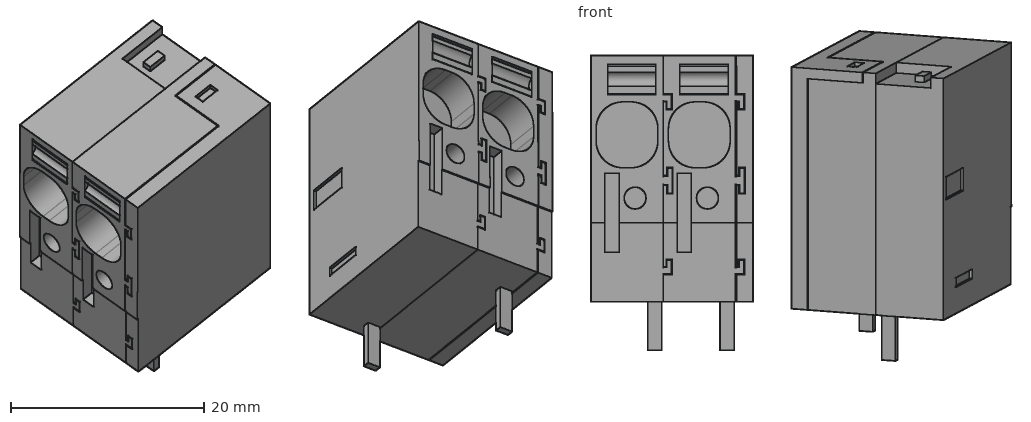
import cadquery as cq

pitch = 7.5
total_width = 16.8
depth = 20.05
total_height = 30.55
height = 25.55
plate_gap = 0.1
module_count = 2
plate_left = module_count * pitch + plate_gap

step_z = 8.2
lower_setback = 0.15
top_setback = 0.05

lever_left = 1.75
lever_width = 4.98
lever_bottom = 21.55
lever_top = 24.4
lever_recess = 0.1
window_bottom = 21.45
window_top = 24.63
lever_gap_depth = 0.45
groove_bottom = 22.35
groove_top = 23.8
groove_depth = 0.5

entry_left = 0.55
entry_width = 6.4
entry_bottom = 13.9
entry_height = 6.8
entry_corner = 2.75
entry_depth = 4.2
test_x = 4.58
test_z = 10.75
test_diameter = 2.25
test_depth = entry_depth
slot_left = 1.45
slot_width = 1.5
slot_bottom = 5.15
slot_top = 13.32
slot_depth = 1.47

hook_inner = 0.4
hook_thickness = 0.45
middle_inner = 0.45
latch_length = 14.03
hook_gap = 0.1
top_arm = (20.8, 21.48)
top_tip = (20.02, 21.48)
middle_arm = (12.15, 13.02)
middle_tip = (11.28, 13.85)
bottom_arm = (2.9, 3.58)
bottom_tip = (2.9, 4.35)

notch_left = 1.4
notch_front = 14.03
notch_depth = 1.1
bump_left = 3.05
bump_width = 0.98
bump_front = 15.43
bump_length = 2.17
bump_height = 0.67
bump_clearance = 0.03

pocket_depth = 0.3
upper_pocket = (14.15, 12.6, 5.1, 2.4)
lower_pocket = (11.58, 2.78, 4.77, 1.0)

pin_left = 5.87
pin_width = 1.5
pin_thickness = 0.8
pin_length = total_height - height
pin_fronts = (17.82, 4.55)


def box(x, y, z, length, width, tall):
    """Box given by its lowest corner and its X, Y and Z sizes."""
    return cq.Workplane("XY").box(length, width, tall, centered=False).translate((x, y, z))


def block(left, width):
    """Slab along X with the stepped and drafted front face."""
    return (
        cq.Workplane("YZ", origin=(left, 0, 0))
        .polyline([
            (lower_setback, 0),
            (lower_setback, step_z),
            (0, step_z),
            (top_setback, height),
            (depth, height),
            (depth, 0),
        ])
        .close()
        .extrude(width)
    )


def latch_bar(left, clearance, inner, arm, tip):
    """Hooked bar along Y: an arm from the module face at X = left and an upright tip at its end."""
    reach = inner + hook_thickness
    arm_low, arm_high = arm
    tip_low, tip_high = tip
    arm_bar = box(
        left, 0, arm_low - clearance,
        reach + clearance, latch_length + clearance, arm_high - arm_low + 2 * clearance,
    )
    tip_bar = box(
        left + inner - clearance, 0, tip_low - clearance,
        hook_thickness + 2 * clearance, latch_length + clearance, tip_high - tip_low + 2 * clearance,
    )
    return arm_bar.union(tip_bar)


def latch_bars(left, clearance):
    """All three hooked bars, grown by a clearance and trimmed to the front face."""
    bars = latch_bar(left, clearance, hook_inner, top_arm, top_tip)
    bars = bars.union(latch_bar(left, clearance, middle_inner, middle_arm, middle_tip))
    bars = bars.union(latch_bar(left, clearance, hook_inner, bottom_arm, bottom_tip))
    return bars.intersect(block(left, pitch))


def lever_cut(left):
    """Recess of the lever face, clearances above and below it and the finger groove across it."""
    x = left + lever_left
    face = box(x, 0, window_bottom, lever_width, lever_recess, window_top - window_bottom)
    above = box(x, 0, lever_top, lever_width, lever_gap_depth, window_top - lever_top)
    below = box(x, 0, window_bottom, lever_width, lever_gap_depth, lever_bottom - window_bottom)
    groove = (
        cq.Workplane("YZ", origin=(x, 0, 0))
        .moveTo(lever_recess, groove_bottom)
        .threePointArc(
            (lever_recess + groove_depth, (groove_bottom + groove_top) / 2),
            (lever_recess, groove_top),
        )
        .close()
        .extrude(lever_width)
    )
    return face.union(above).union(below).union(groove)


def wire_entry_cut(left):
    """Wire opening with large rounded corners."""
    opening = box(left + entry_left, 0, entry_bottom, entry_width, entry_depth, entry_height)
    return opening.edges("|Y").fillet(entry_corner)


def test_hole_cut(left):
    return (
        cq.Workplane("XZ", origin=(left + test_x, 0, test_z))
        .circle(test_diameter / 2)
        .extrude(-test_depth)
    )


def slot_cut(left):
    return box(left + slot_left, 0, slot_bottom, slot_width, slot_depth, slot_top - slot_bottom)


def notch_cut(left):
    return box(
        left + notch_left, notch_front, height - notch_depth,
        pitch - notch_left, depth - notch_front, notch_depth,
    )


def bump(left, clearance, tall):
    """Locating bump on the notch floor, or its clearance hole."""
    return box(
        left + bump_left - clearance, bump_front - clearance, height - notch_depth,
        bump_width + 2 * clearance, bump_length + 2 * clearance, tall,
    )


def wall_pocket_cut(pocket):
    front, bottom, length, tall = pocket
    return box(0, front, bottom, pocket_depth, length, tall)


def housing(index):
    """One terminal module; the first has a closed left wall, the others have latch sockets."""
    left = index * pitch
    body = block(left, pitch)
    body = body.cut(lever_cut(left))
    body = body.cut(wire_entry_cut(left))
    body = body.cut(test_hole_cut(left))
    body = body.cut(slot_cut(left))
    body = body.cut(notch_cut(left))
    body = body.union(bump(left, 0, bump_height))
    if index == 0:
        body = body.cut(wall_pocket_cut(upper_pocket))
        body = body.cut(wall_pocket_cut(lower_pocket))
    else:
        body = body.cut(latch_bars(left, hook_gap))
    return body.union(latch_bars(left + pitch, 0))


def end_plate():
    """Closing plate with sockets and a tab that fills the notch of the last module."""
    last_left = (module_count - 1) * pitch
    tab_left = last_left + notch_left + plate_gap
    tab_front = notch_front + plate_gap
    body = block(plate_left, total_width - plate_left)
    body = body.cut(latch_bars(module_count * pitch, hook_gap))
    tab = box(
        tab_left, tab_front, height - notch_depth,
        plate_left - tab_left, depth - tab_front, notch_depth,
    )
    body = body.union(tab)
    return body.cut(bump(last_left, bump_clearance, notch_depth))


def solder_pin(index):
    left = index * pitch + pin_left
    return box(left, pin_fronts[index], -pin_length, pin_width, pin_thickness, pin_length)


housings = [housing(index).val() for index in range(module_count)]
solder_pins = [solder_pin(index).val() for index in range(module_count)]

result = cq.Compound.makeCompound([*housings, end_plate().val(), *solder_pins])